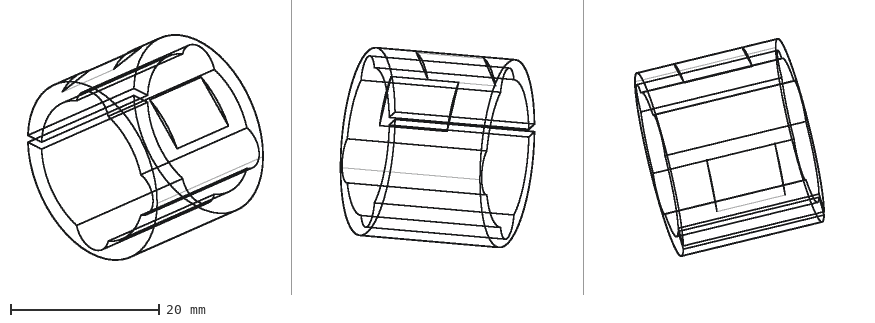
import cadquery as cq

outer_radius = 12.7
bore_radius = 10.0
length = 19.63

lobe_radius = 3.2
lobe_reach = 11.9
lobe_directions = (-90, 0, 90)

slit_width = 1.06

flat_distance = 12.12
flat_length = 9.5
flat_directions = (45, 135)


def make_cylinder(radius, center_distance=0.0):
    """Full-length cylinder parallel to Y, moved out along +X."""
    return (
        cq.Workplane("XZ", origin=(0, length / 2, 0))
        .center(center_distance, 0)
        .circle(radius)
        .extrude(length)
    )


def turn(body, direction):
    """Turn a body about Y from +X towards +Z by an angle in degrees."""
    return body.rotate((0, 0, 0), (0, 1, 0), -direction)


def make_bore():
    """Bore with its rounded grooves."""
    bore = make_cylinder(bore_radius)
    lobe = make_cylinder(lobe_radius, lobe_reach - lobe_radius)
    for direction in lobe_directions:
        bore = bore.union(turn(lobe, direction))
    return bore


def make_slit():
    """Box that opens the wall on the -X side."""
    return cq.Workplane("XY").box(outer_radius, length, slit_width).translate((-outer_radius, 0, 0))


def make_flat_cutter():
    """Block whose inner face leaves a flat on the +X side."""
    depth = outer_radius - flat_distance
    return (
        cq.Workplane("XY")
        .box(depth, flat_length, 2 * outer_radius)
        .translate((flat_distance + depth / 2, 0, 0))
    )


result = make_cylinder(outer_radius).cut(make_bore()).cut(make_slit())
for flat_direction in flat_directions:
    result = result.cut(turn(make_flat_cutter(), flat_direction))